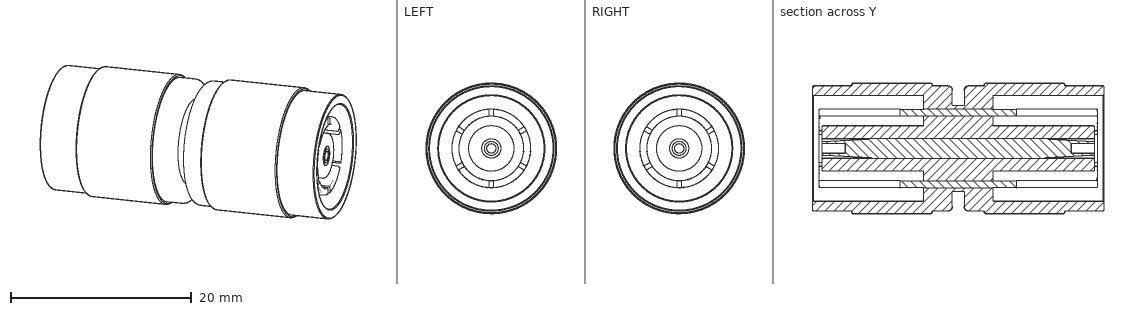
import cadquery as cq

length = 32.25
half_length = length / 2

socket_radius = 6.95
collar_diameter = 14.5
collar_radius = collar_diameter / 2
collar_inner_x = 2.87
collar_outer_x = 11.8
collar_chamfer = 0.13
neck_radius = 4.77
neck_half_length = 0.65
shoulder_fillet = 0.5
rim_chamfer = 0.1
bore_radius = 5.85
bore_floor_x = 3.87

finger_outer_radius = 4.35
finger_inner_radius = 3.58
finger_tip_x = 15.4
finger_tip_fillet = 0.1
slot_count = 6
slot_width = 0.52
slot_floor_x = 6.45

insulator_radius = 2.52
insulator_end_x = 15.1
insulator_fillet = 0.2
web_half_length = 3.87

pin_radius = 1.05
pin_tip_radius = 0.77
pin_tip_x = insulator_end_x
pin_taper_length = 5.5
pin_bore_radius = 0.52
pin_bore_depth = 2.58


def cylinder(radius, end_x):
    """Cylinder on the X axis, reaching from -end_x to +end_x."""
    return cylinder_between(radius, -end_x, end_x)


def cylinder_between(radius, start_x, end_x):
    """Cylinder on the X axis from start_x to end_x."""
    return cq.Workplane("YZ").workplane(offset=start_x).circle(radius).extrude(end_x - start_x)


def both_ends(feature):
    """The feature together with its mirror image at the other end."""
    return feature.union(feature.mirror("YZ"))


def make_housing():
    socket = cylinder_between(socket_radius, neck_half_length, half_length)
    socket = socket.faces("<X").edges().fillet(shoulder_fillet)
    collar = cylinder_between(collar_radius, collar_inner_x, collar_outer_x).edges().chamfer(collar_chamfer)
    bore = cylinder_between(bore_radius, bore_floor_x, half_length)
    socket = socket.union(collar).cut(bore)
    socket = socket.faces(">X").edges().chamfer(rim_chamfer)
    neck = cylinder_between(neck_radius, -neck_half_length, neck_half_length)
    return both_ends(socket).union(neck).cut(cylinder(finger_outer_radius, bore_floor_x))


def make_sleeve():
    sleeve = cylinder(finger_outer_radius, finger_tip_x).cut(cylinder(finger_inner_radius, finger_tip_x))
    sleeve = sleeve.faces("<X or >X").edges().fillet(finger_tip_fillet)
    slot = (
        cq.Workplane("XY")
        .box(finger_tip_x - slot_floor_x, slot_width, finger_outer_radius, centered=(False, True, False))
        .translate((slot_floor_x, 0, 0))
    )
    for index in range(slot_count):
        angle = index * 360 / slot_count
        sleeve = sleeve.cut(both_ends(slot.rotate((0, 0, 0), (1, 0, 0), angle)))
    return sleeve


def make_pin():
    taper_start_x = pin_tip_x - pin_taper_length
    bore_end_x = pin_tip_x - pin_bore_depth
    outline = [
        (0, 0),
        (0, pin_radius),
        (taper_start_x, pin_radius),
        (pin_tip_x, pin_tip_radius),
        (pin_tip_x, pin_bore_radius),
        (bore_end_x, pin_bore_radius),
        (bore_end_x, 0),
    ]
    half_pin = cq.Workplane("XY").polyline(outline).close().revolve(360, (0, 0, 0), (1, 0, 0))
    return both_ends(half_pin)


def make_insulator():
    core = cylinder(insulator_radius, insulator_end_x).faces("<X or >X").edges().fillet(insulator_fillet)
    web = cylinder(finger_inner_radius, web_half_length)
    return core.union(web).cut(cylinder(pin_radius, insulator_end_x))


housing = make_housing()
sleeve = make_sleeve()
insulator = make_insulator()
pin = make_pin()

result = cq.Compound.makeCompound([housing.val(), sleeve.val(), insulator.val(), pin.val()])